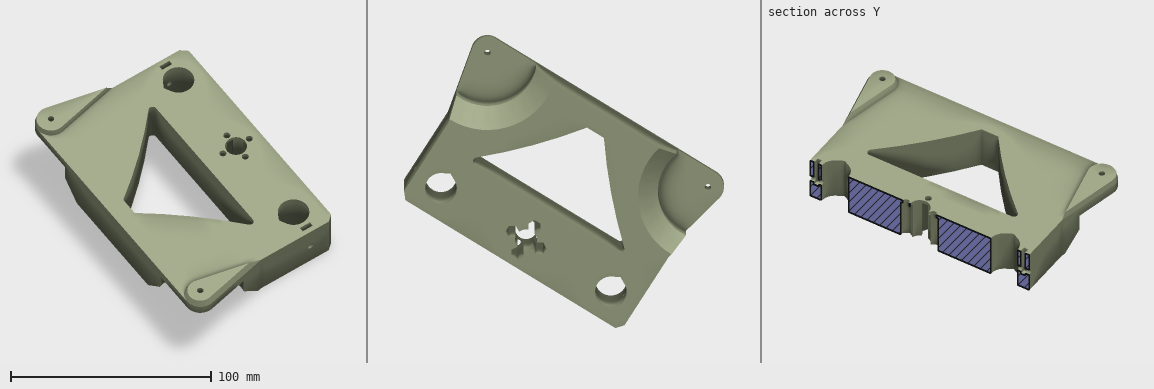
import cadquery as cq
import math

OVERALL_WIDTH = 146
EAR_RADIUS = 8.0
HALF_WIDTH = OVERALL_WIDTH / 2 - EAR_RADIUS
DEPTH = 89.9
BLOCK_HEIGHT = 24.0
REAR_CHAMFER_X = 3.0
REAR_CHAMFER_Y = 3.6

EAR_LENGTH = 37.1
PAD_HEIGHT = 3.0
LEFT_PAD_INSET = 0.7
RIGHT_PAD_INSET = 1.6
EAR_HOLE_DIAMETER = 3.2

FLANGE_THICKNESS = 5.0
RECESS_RADIUS = 25.0
RECESS_FLARE = 9.9

REAR_HOLE_MARGIN = 14.6
HOLE_ROW_Y = DEPTH - REAR_HOLE_MARGIN
CENTRE_HOLE_DIAMETER = 11.0

SCREW_HOLE_DIAMETER = 3.5
SCREW_OFFSET = 8.0
NUT_ACROSS_FLATS = 6.0
NUT_SEAT_THICKNESS = 2.0

ROD_X = 50.0
ROD_RADIUS = 7.9
ROD_TIP_ANGLE = 28

CLAMP_HOLE_DIAMETER = 3.2
CLAMP_HOLE_Z = 12.0
NUT_SLOT_X = 61.2
NUT_SLOT_WIDTH = 2.5
NUT_SLOT_LENGTH = 6.1

WINDOW_FRONT_Y = 10.0
WINDOW_REAR_Y = 56.0
WINDOW_FRONT_HALF_WIDTH = 5.0
WINDOW_REAR_HALF_WIDTH = 47.6
WINDOW_SIDE_BULGE = 1.8
WINDOW_CORNER_RADIUS = 2.0

SIDES = (-1, 1)


def teardrop(plane, radius, tip_distance, tip_direction):
    """Circle about the plane's origin, drawn out to a point along its y axis."""
    tangent_y = radius**2 / tip_distance
    tangent_x = math.sqrt(radius**2 - tangent_y**2)
    return (
        plane.moveTo(tangent_x, tip_direction * tangent_y)
        .threePointArc((0, -tip_direction * radius), (-tangent_x, tip_direction * tangent_y))
        .lineTo(0, tip_direction * tip_distance)
        .close()
    )


def ear(side, pad_inset):
    centre = (side * HALF_WIDTH, EAR_RADIUS)
    base = teardrop(cq.Workplane().center(*centre), EAR_RADIUS, EAR_LENGTH, 1).extrude(BLOCK_HEIGHT)
    pad_scale = 1 - pad_inset / EAR_RADIUS
    pad_plane = cq.Workplane().workplane(offset=BLOCK_HEIGHT).center(*centre)
    pad_foot = teardrop(pad_plane, EAR_RADIUS, EAR_LENGTH, 1)
    top_plane = pad_foot.workplane(offset=PAD_HEIGHT)
    pad = teardrop(top_plane, EAR_RADIUS * pad_scale, EAR_LENGTH * pad_scale, 1).loft(ruled=True)
    return base.union(pad)


def wheel_recess(side):
    flange_z = BLOCK_HEIGHT - FLANGE_THICKNESS
    profile = [
        (0, 0),
        (RECESS_RADIUS + RECESS_FLARE, 0),
        (RECESS_RADIUS, RECESS_FLARE),
        (RECESS_RADIUS, flange_z),
        (0, flange_z),
    ]
    recess = cq.Workplane("XZ").polyline(profile).close().revolve(360, (0, 0), (0, 1))
    return recess.translate((side * HALF_WIDTH, EAR_RADIUS, 0))


def round_holes(points, diameter, height):
    """Holes that rise from the underside to the given height."""
    return cq.Workplane().pushPoints(points).circle(diameter / 2).extrude(height)


def nut_pocket(angle):
    """Hexagon open at the underside, with one flat towards the centre hole."""
    nut_across_corners = NUT_ACROSS_FLATS / math.cos(math.radians(30))
    return (
        cq.Workplane()
        .center(0, SCREW_OFFSET)
        .polygon(6, nut_across_corners)
        .extrude(BLOCK_HEIGHT - NUT_SEAT_THICKNESS)
        .rotate((0, 0, 0), (0, 0, 1), angle)
        .translate((0, HOLE_ROW_Y, 0))
    )


def rod_hole(side):
    tip_distance = ROD_RADIUS / math.cos(math.radians(ROD_TIP_ANGLE))
    plane = cq.Workplane().center(side * ROD_X, HOLE_ROW_Y)
    return teardrop(plane, ROD_RADIUS, tip_distance, -1).extrude(BLOCK_HEIGHT)


def clamp(side):
    hole = (
        cq.Workplane("YZ", origin=(side * ROD_X, HOLE_ROW_Y, CLAMP_HOLE_Z))
        .circle(CLAMP_HOLE_DIAMETER / 2)
        .extrude(side * (HALF_WIDTH - ROD_X))
    )
    slot_floor = CLAMP_HOLE_Z - NUT_SLOT_LENGTH / 2
    slot = (
        cq.Workplane(origin=(side * NUT_SLOT_X, HOLE_ROW_Y, slot_floor))
        .rect(NUT_SLOT_WIDTH, NUT_SLOT_LENGTH)
        .extrude(BLOCK_HEIGHT - slot_floor)
    )
    return hole.union(slot)


def window():
    run = WINDOW_REAR_HALF_WIDTH - WINDOW_FRONT_HALF_WIDTH
    rise = WINDOW_REAR_Y - WINDOW_FRONT_Y
    side_length = math.hypot(run, rise)
    mid_x = WINDOW_FRONT_HALF_WIDTH + run / 2 - WINDOW_SIDE_BULGE * rise / side_length
    mid_y = WINDOW_FRONT_Y + rise / 2 + WINDOW_SIDE_BULGE * run / side_length
    return (
        cq.Workplane()
        .moveTo(-WINDOW_FRONT_HALF_WIDTH, WINDOW_FRONT_Y)
        .lineTo(WINDOW_FRONT_HALF_WIDTH, WINDOW_FRONT_Y)
        .threePointArc((mid_x, mid_y), (WINDOW_REAR_HALF_WIDTH, WINDOW_REAR_Y))
        .lineTo(-WINDOW_REAR_HALF_WIDTH, WINDOW_REAR_Y)
        .threePointArc((-mid_x, mid_y), (-WINDOW_FRONT_HALF_WIDTH, WINDOW_FRONT_Y))
        .close()
        .extrude(BLOCK_HEIGHT)
        .edges("|Z and >Y")
        .fillet(WINDOW_CORNER_RADIUS)
    )


block_outline = [
    (-HALF_WIDTH, 0),
    (HALF_WIDTH, 0),
    (HALF_WIDTH, DEPTH - REAR_CHAMFER_Y),
    (HALF_WIDTH - REAR_CHAMFER_X, DEPTH),
    (-HALF_WIDTH + REAR_CHAMFER_X, DEPTH),
    (-HALF_WIDTH, DEPTH - REAR_CHAMFER_Y),
]
body = cq.Workplane().polyline(block_outline).close().extrude(BLOCK_HEIGHT)
body = body.union(ear(-1, LEFT_PAD_INSET)).union(ear(1, RIGHT_PAD_INSET))

for side in SIDES:
    body = body.cut(wheel_recess(side)).cut(rod_hole(side)).cut(clamp(side))

ear_hole_points = [(side * HALF_WIDTH, EAR_RADIUS) for side in SIDES]
screw_points = [(side * SCREW_OFFSET, HOLE_ROW_Y) for side in SIDES]
screw_points += [(0, HOLE_ROW_Y + side * SCREW_OFFSET) for side in SIDES]

body = body.cut(round_holes(ear_hole_points, EAR_HOLE_DIAMETER, BLOCK_HEIGHT + PAD_HEIGHT))
body = body.cut(round_holes(screw_points, SCREW_HOLE_DIAMETER, BLOCK_HEIGHT))
for turn in range(4):
    body = body.cut(nut_pocket(90 * turn))
body = body.cut(round_holes([(0, HOLE_ROW_Y)], CENTRE_HOLE_DIAMETER, BLOCK_HEIGHT))
result = body.cut(window())